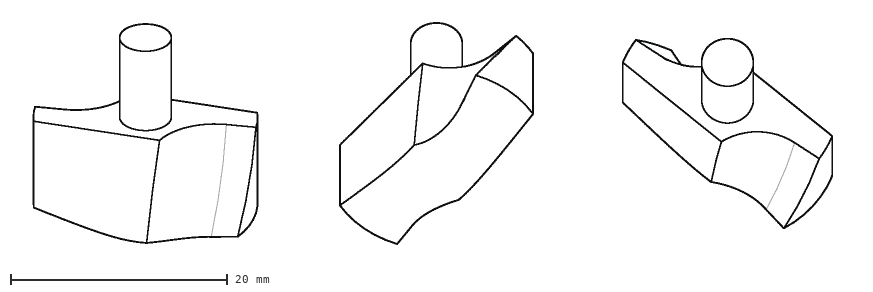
import cadquery as cq
import math

total_height = 21.1
shank_diameter = 4.8
shank_length = 8.6
cutting_diameter = 20.7
blade_thickness = 7.17
tip_height = 3.12

flute_top_angle = 6.0
flute_twist = 32.9
flute_flat_start = 7.55
flute_root_radius = 5.95
flute_reach = 12.65

body_top = total_height - shank_length
cutting_radius = cutting_diameter / 2


def make_blade():
    """Cylinder with a conical tip, cut down to a flat slab."""
    profile = (
        cq.Workplane("XZ")
        .lineTo(cutting_radius, tip_height)
        .lineTo(cutting_radius, body_top)
        .lineTo(0, body_top)
        .close()
    )
    pointed_cylinder = profile.revolve(360, (0, 0, 0), (0, 1, 0))
    slab = cq.Workplane("XY").box(
        cutting_diameter, blade_thickness, body_top, centered=(True, True, False)
    )
    return pointed_cylinder.intersect(slab)


def make_flute_cutter():
    """Helical flute on the +X side, twisting about the Z axis."""
    root_left = flute_flat_start - flute_root_radius
    diagonal = flute_root_radius * math.sqrt(0.5)
    root_middle = (flute_flat_start - diagonal, diagonal - flute_root_radius)
    return (
        cq.Workplane("XY")
        .moveTo(flute_reach, 0)
        .lineTo(flute_flat_start, 0)
        .threePointArc(root_middle, (root_left, -flute_root_radius))
        .lineTo(root_left, -flute_reach)
        .lineTo(flute_reach, -flute_reach)
        .close()
        .twistExtrude(body_top, flute_twist)
        .rotate((0, 0, 0), (0, 0, 1), flute_top_angle - flute_twist)
    )


def make_shank():
    return (
        cq.Workplane("XY")
        .workplane(offset=body_top)
        .circle(shank_diameter / 2)
        .extrude(shank_length)
    )


blade = make_blade()
flute_cutter = make_flute_cutter()
for turn in (0, 180):
    blade = blade.cut(flute_cutter.rotate((0, 0, 0), (0, 0, 1), turn))

result = blade.union(make_shank())